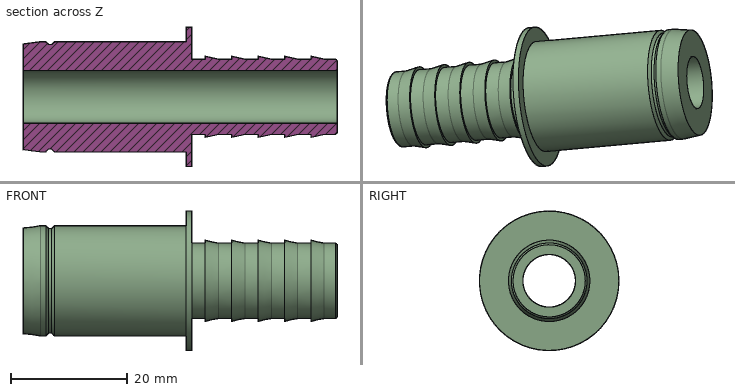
import cadquery as cq


spigot_length = 28.0
spigot_radius = 9.5
tip_radius = 9.1
tip_taper_length = 3.0

groove_start = 3.9
groove_width = 1.5
groove_depth = 0.5
groove_wall_run = groove_width / 3

flange_thickness = 1.0
flange_radius = 12.0

tail_length = 25.0
tail_radius = 6.5
barb_radius = 7.0
barb_count = 5
segment_length = tail_length / (2 * barb_count + 1)
end_chamfer = 0.3

bore_radius = 4.5

flange_end = spigot_length + flange_thickness
total_length = flange_end + tail_length


def spigot_outline():
    """Outer (x, radius) points from the tapered tip to the flange."""
    groove_end = groove_start + groove_width
    groove_radius = spigot_radius - groove_depth
    return [
        (0, tip_radius),
        (tip_taper_length, spigot_radius),
        (groove_start, spigot_radius),
        (groove_start + groove_wall_run, groove_radius),
        (groove_end - groove_wall_run, groove_radius),
        (groove_end, spigot_radius),
        (spigot_length, spigot_radius),
    ]


def flange_outline():
    """Outer (x, radius) points of the stop flange."""
    return [
        (spigot_length, flange_radius),
        (flange_end, flange_radius),
        (flange_end, tail_radius),
    ]


def barb_outline(index):
    """Square shoulder facing the flange, then a slope down to the next land."""
    shoulder = flange_end + (2 * index + 1) * segment_length
    return [
        (shoulder, tail_radius),
        (shoulder, barb_radius),
        (shoulder + segment_length, tail_radius),
    ]


def tail_end_outline():
    """Chamfered free end of the hose tail."""
    return [
        (total_length - end_chamfer, tail_radius),
        (total_length, tail_radius - end_chamfer),
    ]


def bore_outline():
    """Bore wall, from the tail end back to the spigot tip."""
    return [
        (total_length, bore_radius),
        (0, bore_radius),
    ]


profile = spigot_outline() + flange_outline()
for barb in range(barb_count):
    profile += barb_outline(barb)
profile += tail_end_outline() + bore_outline()

result = cq.Workplane("XY").polyline(profile).close().revolve(360, (0, 0, 0), (1, 0, 0))